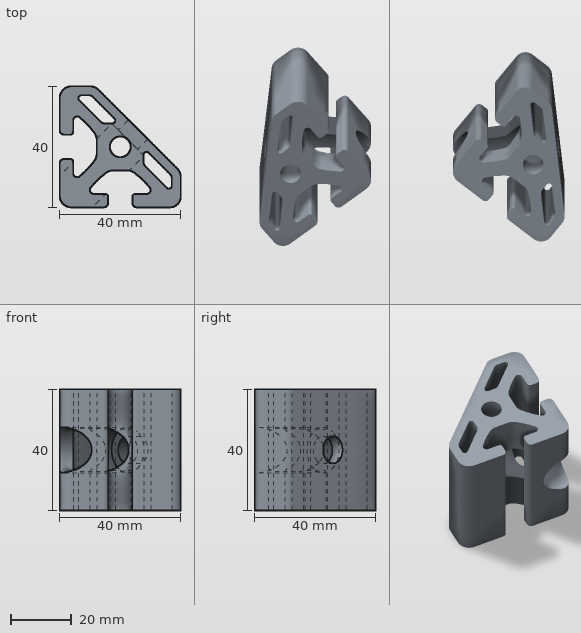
import cadquery as cq
import math

side = 40.0
length = 40.0
middle = side / 2
slant_sum = 51.65
slant_start = slant_sum - side
corner_radius = 4.0
right_corner_radius = 3.7

bore_diameter = 6.8

slot_opening = 7.9
lip_thickness = 4.5
slot_depth = 12.2
flank_offset = 4.25
flank_bow = 0.5
lip_outer_radius = 1.5
lip_inner_radius = 1.0
slot_tip_radius = 1.3
slot_floor_radius = 4.0

pocket_low = 27.7
pocket_high = 36.95
pocket_inner_sum = 41.85
pocket_outer_sum = 47.4
pocket_tip_radius = 0.95
pocket_bend_radius = 2.0

screw_diameter = 9.0
head_diameter = 15.0
seat_sum = 44.9


def prism(points):
    return cq.Workplane("XY").polyline(points).close().extrude(length)


def round_edges(body, radius, points):
    """Round the edges parallel to Z that pass through the given points."""
    for x, y in points:
        body = body.edges(cq.selectors.NearestToPointSelector((x, y, length / 2))).fillet(radius)
    return body


def mirrored(points):
    return [(y, x) for x, y in points]


def make_blank():
    upper_bend = (slant_start, side)
    lower_bend = (side, slant_start)
    body = prism([(0, 0), (side, 0), lower_bend, upper_bend, (0, side)])
    body = round_edges(body, corner_radius, [(0, 0), (0, side), upper_bend, lower_bend])
    return round_edges(body, right_corner_radius, [(side, 0)])


def make_slot(orient):
    """T-slot cutter; orient places the -Y face's outline on the wanted face."""
    mouth = (middle - slot_opening / 2, 0)
    lip = (middle - slot_opening / 2, lip_thickness)
    tip = (lip_thickness + flank_offset, lip_thickness)
    floor = (slot_depth + flank_offset, slot_depth)
    flank_shift = flank_bow / math.sqrt(2)
    flank_height = (lip_thickness + slot_depth) / 2
    flank_middle = (flank_height + flank_offset - flank_shift, flank_height + flank_shift)

    def both_sides(point):
        x, y = point
        return orient([(x, y), (side - x, y)])

    mouth_left, mouth_right = both_sides(mouth)
    lip_left, lip_right = both_sides(lip)
    tip_left, tip_right = both_sides(tip)
    floor_left, floor_right = both_sides(floor)
    flank_left, flank_right = both_sides(flank_middle)

    outline = cq.Workplane("XY").polyline([mouth_left, lip_left, tip_left])
    outline = outline.threePointArc(flank_left, floor_left).lineTo(*floor_right)
    outline = outline.threePointArc(flank_right, tip_right).lineTo(*lip_right).lineTo(*mouth_right)
    cutter = outline.close().extrude(length)
    cutter = round_edges(cutter, lip_inner_radius, both_sides(lip))
    cutter = round_edges(cutter, slot_tip_radius, both_sides(tip))
    return round_edges(cutter, slot_floor_radius, both_sides(floor))


def make_pocket(orient):
    """Pocket cutter; orient places the outline on either side of the diagonal."""
    tips = orient([
        (pocket_high, pocket_inner_sum - pocket_high),
        (pocket_low, pocket_outer_sum - pocket_low),
    ])
    bends = orient([
        (pocket_high, pocket_outer_sum - pocket_high),
        (pocket_low, pocket_inner_sum - pocket_low),
    ])
    cutter = prism([tips[0], bends[0], tips[1], bends[1]])
    cutter = round_edges(cutter, pocket_tip_radius, tips)
    return round_edges(cutter, pocket_bend_radius, bends)


def make_screw_hole():
    diagonal = cq.Plane(origin=(0, 0, length / 2), xDir=(0, 0, 1), normal=(1, 1, 0))
    head = cq.Workplane(diagonal).circle(head_diameter / 2).extrude(seat_sum / math.sqrt(2))
    shank = cq.Workplane(diagonal).circle(screw_diameter / 2).extrude(side * math.sqrt(2))
    return head.union(shank)


result = make_blank()
for orient in (list, mirrored):
    result = result.cut(make_slot(orient)).cut(make_pocket(orient))

for edge in (middle - slot_opening / 2, middle + slot_opening / 2):
    result = round_edges(result, lip_outer_radius, [(edge, 0), (0, edge)])

bore = cq.Workplane("XY").center(middle, middle).circle(bore_diameter / 2).extrude(length)
result = result.cut(bore).cut(make_screw_hole())